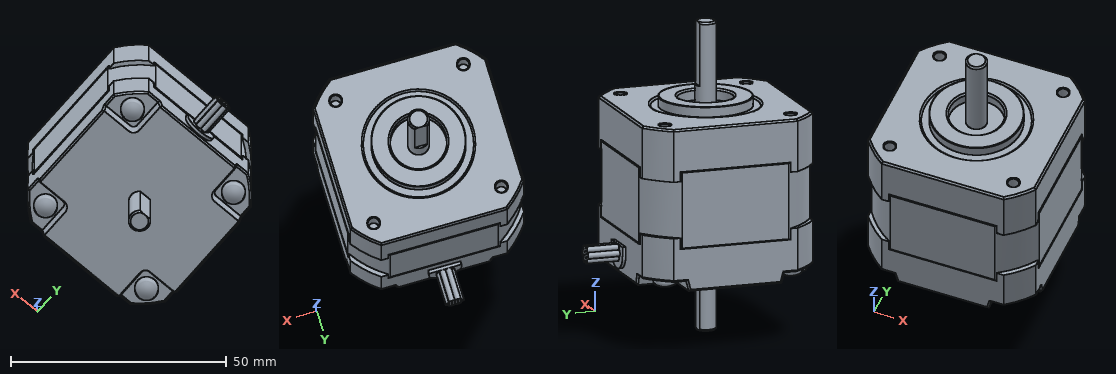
import cadquery as cq
import math


body_width = 42.0
body_height = 39.0
corner_radius = 26.0
edge_chamfer = 0.45
half_width = body_width / 2
tolerance = 0.01

band_bottom = 12.95
band_top = 26.5
panel_width = 27.1
panel_bottom = 10.3
panel_top = 28.8
panel_depth = 0.15
panel_side_bevel = 0.45
panel_end_bevel = 0.2
panel_height = panel_top - panel_bottom
band_radius = math.hypot(panel_width / 2, half_width - panel_depth)
sleeve_clearance = 0.75

boss_radius = 11.0
boss_top = body_height + 2.0
boss_chamfer = 0.15
recess_radius = 13.25
recess_depth = 0.45
bore_radius = 6.6
bore_depth = 2.75

shaft_radius = 2.5
shaft_bottom = -15.0
shaft_length = 74
shaft_top = shaft_bottom + shaft_length
shaft_chamfer = 0.45
flat_offset = 2.0
upper_flat_start = 43.65

fastener_offset = 15.5
hole_radius = 1.3
hole_depth = 4.5
hole_chamfer = 0.2

notch_inner = 12.05
notch_height = 2.45
notch_corner_radius = 1.1
notch_spread = 0.7
notch_draft = math.degrees(math.atan(notch_spread / notch_height))
head_radius = 2.75
head_rim = 1.55
head_rounding = 0.9
dome_radius = 2.1
dome_start = 0.75
dome_tip = 0.2

wire_radius = 0.78
wire_pitch = 1.44
cable_height = 5.3
cable_end = 29.6
grommet_radius = 3.9
grommet_top = 7.3
grommet_thickness = 0.8

corners = [(sx, sy) for sx in (-1, 1) for sy in (-1, 1)]
fastener_points = [(sx * fastener_offset, sy * fastener_offset) for sx, sy in corners]


def cylinder(radius, bottom, top):
    return cq.Workplane("XY").workplane(offset=bottom).circle(radius).extrude(top - bottom)


def cone(lower_radius, upper_radius, bottom, top):
    profile = [(0, bottom), (lower_radius, bottom), (upper_radius, top), (0, top)]
    return cq.Workplane("XZ").polyline(profile).close().revolve(360, (0, 0), (0, 1))


def body_block():
    block = cq.Workplane("XY").rect(body_width, body_width).extrude(body_height)
    return block.intersect(cylinder(corner_radius, 0, body_height))


def cut_corner_notches(body):
    """Open the four bottom corners with sloped walls."""
    size = half_width
    centre = notch_inner + size / 2
    outline = cq.Sketch().rect(size, size).vertices().fillet(notch_corner_radius)
    notches = (
        cq.Workplane("XY")
        .workplane(offset=notch_height)
        .pushPoints([(sx * centre, sy * centre) for sx, sy in corners])
        .placeSketch(outline)
        .extrude(-notch_height, taper=-notch_draft)
    )
    return body.cut(notches)


def bevel_outer_edges(body):
    """Chamfer the top and bottom outlines and the notch rims, all on the outer surface."""
    def on_outside(edge):
        point = edge.positionAt(0.5)
        reach = max(abs(point.x), abs(point.y))
        on_face = reach > half_width - tolerance
        on_corner = math.hypot(point.x, point.y) > corner_radius - tolerance
        return on_face or on_corner

    def at_an_end(edge):
        height = edge.Center().z
        return height < notch_height + tolerance or height > body_height - tolerance

    rim_edges = [edge for edge in body.edges().vals() if on_outside(edge) and at_an_end(edge)]
    return body.newObject(rim_edges).chamfer(edge_chamfer)


def cut_stator_band(body):
    sleeve = (
        cq.Workplane("XY")
        .workplane(offset=band_bottom)
        .circle(corner_radius + sleeve_clearance)
        .circle(band_radius)
        .extrude(band_top - band_bottom)
    )
    return body.cut(sleeve)


def panel_groove():
    """Groove around the side panel on the -Y face."""
    middle = (panel_bottom + panel_top) / 2
    floor = cq.Workplane("XZ", origin=(0, panel_depth - half_width, middle))
    window = floor.rect(panel_width, panel_height).extrude(panel_depth)
    panel = (
        floor.rect(panel_width, panel_height)
        .workplane(offset=panel_depth)
        .rect(panel_width - 2 * panel_side_bevel, panel_height - 2 * panel_end_bevel)
        .loft(ruled=True)
    )
    return window.cut(panel)


def add_pilot_boss(body):
    recess_floor = body_height - recess_depth
    recess = cone(recess_radius - recess_depth, recess_radius, recess_floor, body_height)
    boss = cylinder(boss_radius, recess_floor, boss_top).faces(">Z").chamfer(boss_chamfer)
    bore = cylinder(bore_radius, boss_top - bore_depth, boss_top)
    bore_mouth = cone(bore_radius, bore_radius + edge_chamfer, boss_top - edge_chamfer, boss_top)
    return body.cut(recess).union(boss).cut(bore).cut(bore_mouth)


def drill_mounting_holes(body):
    hole = cylinder(hole_radius, body_height - hole_depth, body_height)
    mouth = cone(hole_radius, hole_radius + hole_chamfer, body_height - hole_chamfer, body_height)
    drill = hole.union(mouth)
    for x, y in fastener_points:
        body = body.cut(drill.translate((x, y, 0)))
    return body


def shaft():
    """Rod with a flat on the +Y side of both free ends."""
    rod = cylinder(shaft_radius, shaft_bottom, shaft_top).faces("<Z or >Z").chamfer(shaft_chamfer)
    for start, end in ((shaft_bottom, 0), (upper_flat_start, shaft_top)):
        waste = cq.Workplane("XY").box(
            2 * shaft_radius, shaft_radius, end - start, centered=(True, False, False)
        )
        rod = rod.cut(waste.translate((0, flat_offset, start)))
    return rod


def screw_head():
    """Domed head hanging from the notch ceiling."""
    dome_rise = dome_start - dome_tip
    dome_sphere_radius = (dome_radius**2 + dome_rise**2) / (2 * dome_rise)
    return (
        cq.Workplane("XZ")
        .moveTo(0, notch_height)
        .lineTo(head_radius, notch_height)
        .lineTo(head_radius, head_rim)
        .radiusArc((dome_radius, dome_start), head_rounding)
        .radiusArc((0, dome_tip), dome_sphere_radius)
        .close()
        .revolve(360, (0, 0), (0, 1))
    )


def grommet():
    """Plate with a round lower end and a flat top, lying on the +Y face."""
    return (
        cq.Workplane("XZ", origin=(0, half_width, 0))
        .moveTo(-grommet_radius, grommet_top)
        .lineTo(-grommet_radius, cable_height)
        .threePointArc((0, cable_height - grommet_radius), (grommet_radius, cable_height))
        .lineTo(grommet_radius, grommet_top)
        .close()
        .extrude(-grommet_thickness)
    )


def cable():
    """Six wires packed around a central one."""
    wire = cq.Workplane("XZ", origin=(0, half_width, cable_height)).circle(wire_radius)
    wire = wire.extrude(half_width - cable_end)
    bundle = wire
    for angle in range(0, 360, 60):
        across = wire_pitch * math.cos(math.radians(angle))
        up = wire_pitch * math.sin(math.radians(angle))
        bundle = bundle.union(wire.translate((across, 0, up)))
    return bundle


body = bevel_outer_edges(cut_corner_notches(body_block()))
body = cut_stator_band(body)
for side in range(4):
    body = body.cut(panel_groove().rotate((0, 0, 0), (0, 0, 1), 90 * side))
body = drill_mounting_holes(add_pilot_boss(body))

result = body.union(shaft()).union(grommet()).union(cable())
for x, y in fastener_points:
    result = result.union(screw_head().translate((x, y, 0)))